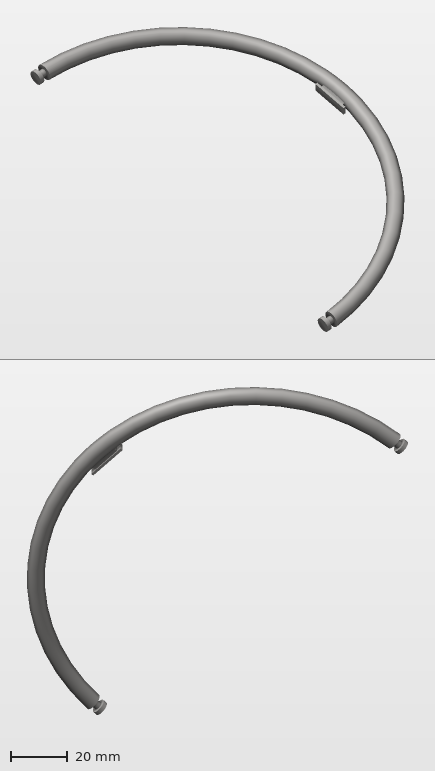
import cadquery as cq
import math

span = 158.5
tube_diameter = 6.3

neck_diameter = 3.0
neck_length = 2.4
head_diameter = 5.5
head_length = 1.6

plate_width = 14.9
plate_height = 3.5
plate_thickness = 1.0
pad_width = 11.1
pad_height = 2.2
pad_gap = 1.3

tube_end_y = head_length + neck_length
outer_radius = math.hypot(span / 2, tube_end_y)
arc_radius = outer_radius - tube_diameter / 2
pin_x = math.sqrt(arc_radius**2 - tube_end_y**2)
inner_radius = arc_radius - tube_diameter / 2


def make_tube():
    """Half ring of round section, trimmed by a plane at the top of the pins."""
    half_ring = (
        cq.Workplane("XZ")
        .center(arc_radius, 0)
        .circle(tube_diameter / 2)
        .revolve(180, (-arc_radius, 0), (-arc_radius, 1))
    )
    keep = cq.Workplane("XY").box(
        2 * span, span, 2 * tube_diameter, centered=(True, False, True)
    )
    return half_ring.intersect(keep.translate((0, tube_end_y, 0)))


def make_pin(x):
    """Round head with a thinner neck that runs up to the tube end."""
    head = cq.Workplane("XZ").center(x, 0).circle(head_diameter / 2).extrude(-head_length)
    neck = cq.Workplane("XZ").center(x, 0).circle(neck_diameter / 2).extrude(-tube_end_y)
    return head.union(neck)


def make_plate():
    """Flat plate and the pad that reaches from it to the middle of the tube."""
    plate_back_y = inner_radius - pad_gap
    pad_depth = arc_radius - plate_back_y
    plate = cq.Workplane("XY").box(
        plate_width, plate_thickness, plate_height, centered=(True, False, True)
    )
    pad = cq.Workplane("XY").box(
        pad_width, pad_depth, pad_height, centered=(True, False, True)
    )
    return plate.translate((0, plate_back_y - plate_thickness, 0)).union(
        pad.translate((0, plate_back_y, 0))
    )


result = make_tube().union(make_plate())
for side in (-1, 1):
    result = result.union(make_pin(side * pin_x))